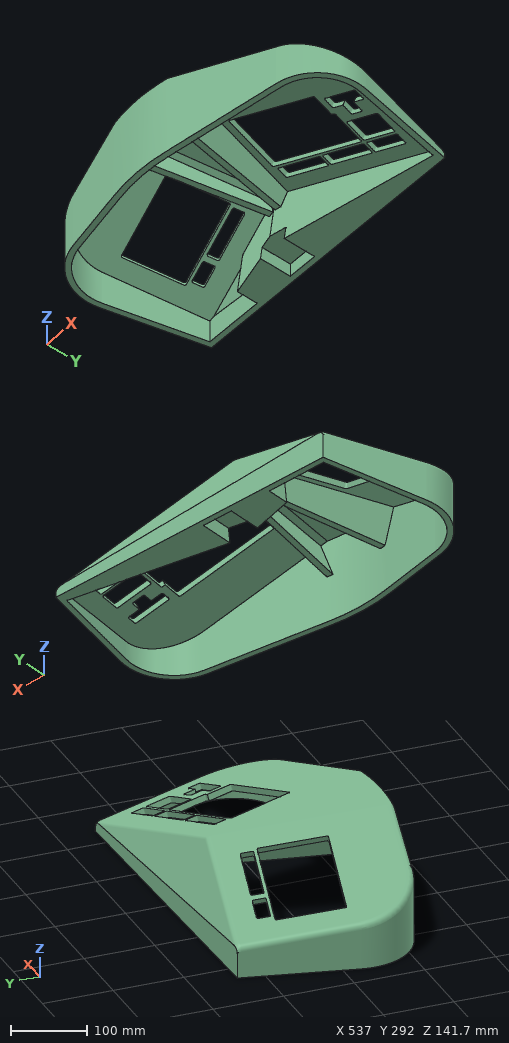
import cadquery as cq
import math

LEFT_BACK = (-190.0, 35.5)
RIGHT_BACK = (274.5, 45.0)
LEFT_FRONT = (-247.0, -210.0)
RIGHT_FRONT = (322.5, -199.0)
FOLD_FRONT_Y = -242.0
LEFT_FOLD = (-58.0, FOLD_FRONT_Y)
RIGHT_FOLD = (51.0, FOLD_FRONT_Y)
FRONT_MIDDLE = (0, -247.0)
CORNER_RADIUS = 82.0

APEX_HEIGHT = 113.0
APEX = cq.Vector(0, 0, APEX_HEIGHT)
CENTER_RISE = 0.121
WING_DROP = 0.324
EDGE_RADIUS = 9.5

WALL = 9.0
BLOCK_FRONT = 12.5
BLOCK_LEFT_X = -88.5
CABLE_NOTCH_LEFT_X = -22.5
CABLE_NOTCH_WIDTH = 48.5
CABLE_NOTCH_HEIGHT = 22.5
RIB_OUTER_FACE = 21.5
RIB_BOTTOM_Z = 73.5

OPENING_RADIUS = 2.0
LEFT_OPENINGS = [
    (37.0, 167.5, 59.5, 154.5),
    (126.0, 159.5, 36.5, 55.0),
    (41.0, 117.0, 36.5, 54.0),
]
SCREEN_LEFT, SCREEN_BACK, SCREEN_FRONT = 35.0, 59.0, 153.5
SCREEN_STEP = 116.5
STEM_FRONT = 131.5
RIGHT_OPENINGS = [
    (SCREEN_LEFT, 197.0, SCREEN_BACK, SCREEN_STEP),
    (SCREEN_LEFT, 191.0, SCREEN_BACK, SCREEN_FRONT),
    (39.0, 116.5, 35.5, 54.0),
    (121.5, 197.0, 36.0, 55.0),
    (202.0, 258.5, 36.0, 55.5),
    (202.0, 259.0, 60.0, 98.0),
    (221.0, 240.0, 108.0, STEM_FRONT),
    (202.5, 259.0, 127.0, 145.5),
]

REACH = 805.5


def wing_normal(fold):
    """Upward normal of the wing that holds the fold line from the apex to the front point `fold`."""
    slope_x = -math.copysign(WING_DROP, fold[0])
    slope_y = -CENTER_RISE - slope_x * fold[0] / fold[1]
    return cq.Vector(-slope_x, -slope_y, 1).normalized()


def fold_direction(fold):
    """Unit vector from the apex forward along a fold."""
    return cq.Vector(fold[0], fold[1], -CENTER_RISE * fold[1]).normalized()


def wing_point(point, fold):
    """Point of the wing plane above a plan point."""
    normal = wing_normal(fold)
    drop = (normal.x * point[0] + normal.y * point[1]) / normal.z
    return cq.Vector(point[0], point[1], APEX_HEIGHT - drop)


CENTER_NORMAL = cq.Vector(0, CENTER_RISE, 1).normalized()
LEFT_NORMAL = wing_normal(LEFT_FOLD)
RIGHT_NORMAL = wing_normal(RIGHT_FOLD)
LEFT_RIDGE = wing_point(LEFT_BACK, LEFT_FOLD) - APEX
RIGHT_RIDGE = wing_point(RIGHT_BACK, RIGHT_FOLD) - APEX
BACK_NORMAL = RIGHT_RIDGE.cross(LEFT_RIDGE).normalized()
TOP_NORMALS = (CENTER_NORMAL, LEFT_NORMAL, RIGHT_NORMAL)


def half_space(normal, distance):
    """Everything beyond a plane at a signed distance from the apex along its normal."""
    plane = cq.Plane(origin=APEX + normal * distance, normal=normal)
    return cq.Workplane(plane).rect(2 * REACH, 2 * REACH).extrude(REACH)


def hood(inset):
    """Solid hood with all its walls and upper planes moved inward by `inset`."""
    outline = (
        cq.Workplane("XY")
        .moveTo(*LEFT_BACK)
        .lineTo(*LEFT_FRONT)
        .lineTo(*LEFT_FOLD)
        .threePointArc(FRONT_MIDDLE, RIGHT_FOLD)
        .lineTo(*RIGHT_FRONT)
        .lineTo(*RIGHT_BACK)
        .close()
    )
    if inset:
        outline = outline.offset2D(-inset, "intersection")
    height = 2 * APEX_HEIGHT
    solid = outline.extrude(height)
    for corner in (LEFT_FRONT, RIGHT_FRONT):
        corner_edge = cq.selectors.NearestToPointSelector((*corner, height / 2))
        solid = solid.edges(corner_edge).fillet(CORNER_RADIUS - inset)
    for normal in (*TOP_NORMALS, BACK_NORMAL):
        solid = solid.cut(half_space(normal, -inset))
    return solid


def round_top_edges(solid):
    """Round every edge of the centre panel and the two wings."""
    top = solid.newObject([])
    for normal in TOP_NORMALS:
        top = top.add(solid.faces(cq.selectors.ParallelDirSelector(normal)))
    return top.edges().fillet(EDGE_RADIUS)


def wing_box(fold, inner, outer, back, front, above, below):
    """Box square to a wing, reaching `above` and `below` the wing surface."""
    normal = wing_normal(fold)
    plane = cq.Plane(origin=APEX, xDir=normal.cross(fold_direction(fold)), normal=normal)
    middle = math.copysign((inner + outer) / 2, fold[0])
    return (
        cq.Workplane(plane)
        .workplane(offset=-below)
        .center(middle, -(back + front) / 2)
        .rect(outer - inner, front - back)
        .extrude(above + below)
    )


def opening(fold, inner, outer, back, front):
    """Cutter for a round-cornered rectangular opening through a wing."""
    upright = cq.selectors.ParallelDirSelector(wing_normal(fold))
    box = wing_box(fold, inner, outer, back, front, WALL, 2 * WALL)
    return box.edges(upright).fillet(OPENING_RADIUS)


def back_block():
    """Block along the back, its faces square to the wings, with a cable notch in the middle."""
    block = cq.Workplane("XY").box(REACH, REACH, APEX_HEIGHT, centered=(False, True, False))
    block = block.translate((BLOCK_LEFT_X, 0, 0))
    for fold in (LEFT_FOLD, RIGHT_FOLD):
        block = block.cut(half_space(fold_direction(fold), BLOCK_FRONT))
    notch = cq.Workplane("XY").box(
        CABLE_NOTCH_WIDTH, REACH, CABLE_NOTCH_HEIGHT, centered=(False, True, False)
    )
    return block.cut(notch.translate((CABLE_NOTCH_LEFT_X, 0, 0)))


def fold_rib(fold):
    """Rib under a wing beside its fold, level along the bottom."""
    rib = wing_box(fold, RIB_OUTER_FACE - WALL, RIB_OUTER_FACE, 0, REACH, 0, APEX_HEIGHT)
    level = cq.Workplane("XY").workplane(offset=RIB_BOTTOM_Z).rect(2 * REACH, 2 * REACH).extrude(REACH)
    return rib.intersect(level)


cavity = hood(WALL).cut(back_block())
for fold in (LEFT_FOLD, RIGHT_FOLD):
    cavity = cavity.cut(fold_rib(fold))

shell = round_top_edges(hood(0)).cut(cavity)
for fold, sizes in ((LEFT_FOLD, LEFT_OPENINGS), (RIGHT_FOLD, RIGHT_OPENINGS)):
    for size in sizes:
        shell = shell.cut(opening(fold, *size))

result = shell